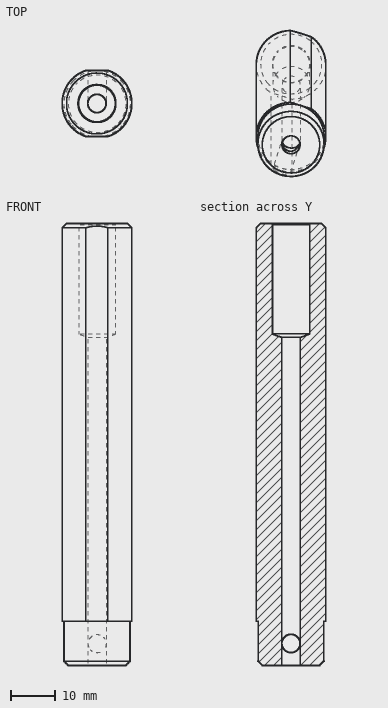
import cadquery as cq
import math

total_length = 100.0
shaft_diameter = 15.8
across_flats = 15.0
spigot_length = 10.0
spigot_diameter = across_flats
edge_chamfer = 1.0

bore_diameter = 8.3
bore_depth = 25.0
drill_point_angle = 140.0
mouth_diameter = 8.6
mouth_depth = 0.3

passage_diameter = 4.1
side_hole_diameter = passage_diameter
side_hole_height = spigot_length / 2


def make_shaft():
    """Round shaft with a chamfered top and two flats facing -Y and +Y."""
    shaft_length = total_length - spigot_length
    shaft = (
        cq.Workplane("XY", origin=(0, 0, spigot_length))
        .circle(shaft_diameter / 2)
        .extrude(shaft_length)
        .faces(">Z")
        .chamfer(edge_chamfer)
    )
    flat_limits = cq.Workplane("XY", origin=(0, 0, spigot_length)).box(
        shaft_diameter, across_flats, shaft_length, centered=(True, True, False)
    )
    return shaft.intersect(flat_limits)


def make_spigot():
    """Round lower end with a chamfered bottom edge."""
    return (
        cq.Workplane("XY")
        .circle(spigot_diameter / 2)
        .extrude(spigot_length)
        .faces("<Z")
        .chamfer(edge_chamfer)
    )


def make_axial_hole():
    """Bore, drill point and passage, revolved about Z as one stepped cutter."""
    bore_radius = bore_diameter / 2
    passage_radius = passage_diameter / 2
    bore_floor = total_length - bore_depth
    point_height = (bore_radius - passage_radius) / math.tan(math.radians(drill_point_angle / 2))
    return (
        cq.Workplane("XZ")
        .moveTo(0, 0)
        .lineTo(passage_radius, 0)
        .lineTo(passage_radius, bore_floor - point_height)
        .lineTo(bore_radius, bore_floor)
        .lineTo(bore_radius, total_length - mouth_depth)
        .lineTo(mouth_diameter / 2, total_length)
        .lineTo(0, total_length)
        .close()
        .revolve(360, (0, 0, 0), (0, 1, 0))
    )


def make_side_hole():
    """Radial hole from the axis out through the +Y side of the spigot."""
    return (
        cq.Workplane("XZ", origin=(0, 0, side_hole_height))
        .circle(side_hole_diameter / 2)
        .extrude(-spigot_diameter)
    )


def make_rod():
    """Shaft and spigot in one piece, with all holes cut."""
    return make_shaft().union(make_spigot()).cut(make_axial_hole()).cut(make_side_hole())


rod = make_rod().solids()

result = cq.Compound.makeCompound([rod.val()])